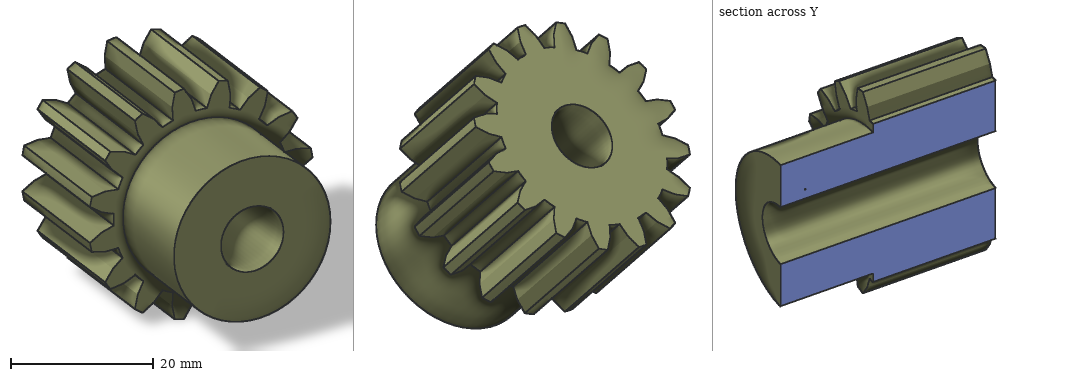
import cadquery as cq
import math

tooth_count = 16
pitch_radius = 16.0
tip_radius = 18.0
root_radius = 14.0

pitch_thickness = math.pi * pitch_radius / tooth_count
tip_thickness = 1.5
root_thickness = 3.7

overall_length = 35.0
gear_width = 19.97
hub_length = overall_length - gear_width
hub_diameter = 25.02
bore_diameter = 10.0

tooth_pitch = 2 * math.pi / tooth_count


def polar(radius, angle):
    return (radius * math.cos(angle), radius * math.sin(angle))


def gear_outline(start_plane):
    """Teeth with two flat faces per flank, meeting at the pitch circle."""
    tip_half = tip_thickness / tip_radius / 2
    pitch_half = pitch_thickness / pitch_radius / 2
    root_half = root_thickness / root_radius / 2

    outline = start_plane.moveTo(*polar(root_radius, tooth_pitch / 2 - root_half))
    for tooth in range(tooth_count):
        centre = (tooth + 0.5) * tooth_pitch
        gap_centre = centre + tooth_pitch / 2
        next_root = centre + tooth_pitch - root_half
        outline = (
            outline.lineTo(*polar(pitch_radius, centre - pitch_half))
            .lineTo(*polar(tip_radius, centre - tip_half))
            .threePointArc(polar(tip_radius, centre), polar(tip_radius, centre + tip_half))
            .lineTo(*polar(pitch_radius, centre + pitch_half))
            .lineTo(*polar(root_radius, centre + root_half))
            .threePointArc(polar(root_radius, gap_centre), polar(root_radius, next_root))
        )
    return outline.close()


gear = gear_outline(cq.Workplane("YZ")).extrude(gear_width)
hub = cq.Workplane("YZ", origin=(gear_width, 0, 0)).circle(hub_diameter / 2).extrude(hub_length)
bore = cq.Workplane("YZ").circle(bore_diameter / 2).extrude(overall_length)

result = gear.union(hub).cut(bore)